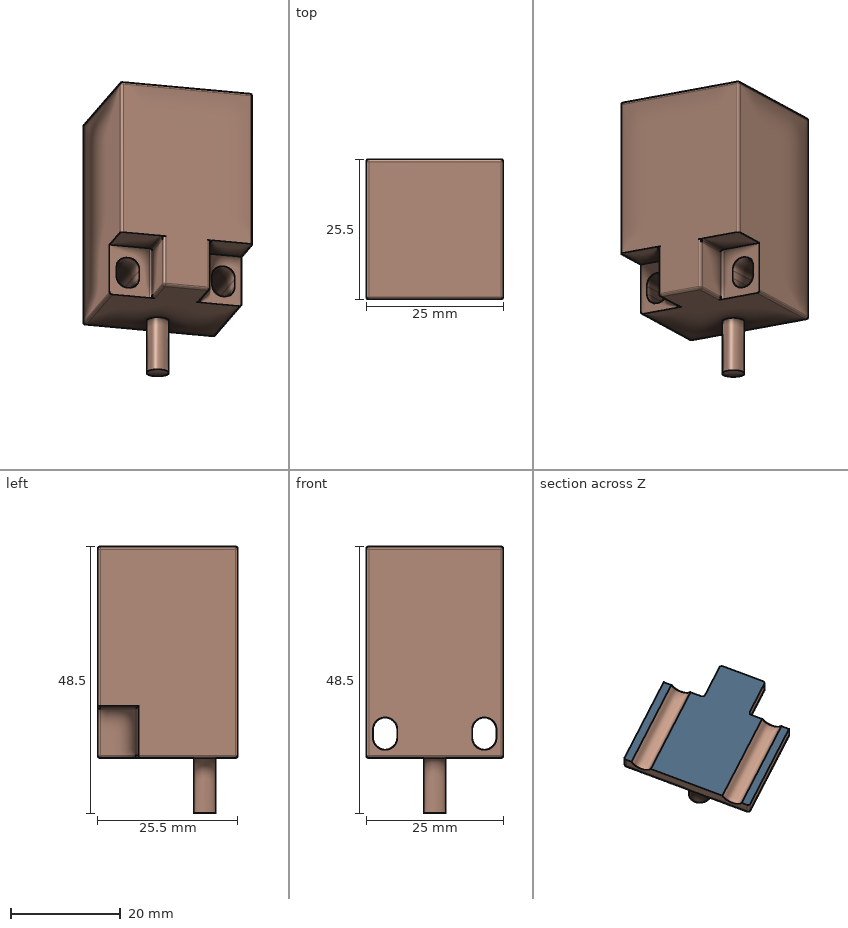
import cadquery as cq

width = 25.0
depth = 25.5
total_height = 48.5
cable_length = 10.0
housing_height = total_height - cable_length
edge_radius = 0.5

cable_diameter = 4.03
cable_from_front = 6.0

slot_width = 4.35
slot_height = 5.8
slot_spacing = 18.05
slot_center_height = 4.45

recess_width = 8.0
recess_depth = 7.45
recess_height = 9.5
recess_floor_radius = 0.5
post_width = width - 2 * recess_width


def make_block():
    """Upright block with its base at Z = 0, sharp on every edge."""
    return cq.Workplane("XY").box(width, depth, housing_height, centered=(True, True, False))


def cut_recesses(body):
    """Cut both rear corners, leaving a central post with rounded roots."""
    for side, inner_face in ((-1, ">X"), (1, "<X")):
        overrun = 2 * edge_radius
        recess = (
            cq.Workplane("XY")
            .box(
                recess_width + overrun,
                recess_depth + overrun,
                recess_height + overrun,
                centered=(True, False, False),
            )
            .translate((
                side * (post_width + recess_width + overrun) / 2,
                depth / 2 - recess_depth,
                -overrun,
            ))
            .faces(inner_face)
            .edges(">Z or <Y")
            .fillet(recess_floor_radius)
        )
        body = body.cut(recess)
    return body


def round_post(body):
    """Round the free edges of the post, stopping at the recess walls."""
    wall_y = depth / 2 - recess_depth
    reach = 2 * edge_radius
    envelope = (
        cq.Workplane("XY")
        .box(post_width, recess_depth, recess_height, centered=(True, False, False))
        .translate((0, wall_y, 0))
    )
    rounded = (
        cq.Workplane("XY")
        .box(post_width, recess_depth + reach, recess_height + reach, centered=(True, False, False))
        .translate((0, wall_y - reach, 0))
        .edges()
        .fillet(edge_radius)
    )
    return body.cut(envelope.cut(rounded))


def make_slots():
    """Cutters for the pair of mounting slots."""
    return (
        cq.Workplane("XZ")
        .pushPoints([(side * slot_spacing / 2, slot_center_height) for side in (-1, 1)])
        .slot2D(slot_height, slot_width, 90)
        .extrude(depth, both=True)
    )


def make_cable():
    """Round cable stub hanging below the housing."""
    return (
        cq.Workplane("XY")
        .center(0, cable_from_front - depth / 2)
        .circle(cable_diameter / 2)
        .extrude(-cable_length)
    )


housing = make_block().edges().fillet(edge_radius)
housing = round_post(cut_recesses(housing))
result = housing.cut(make_slots()).union(make_cable())